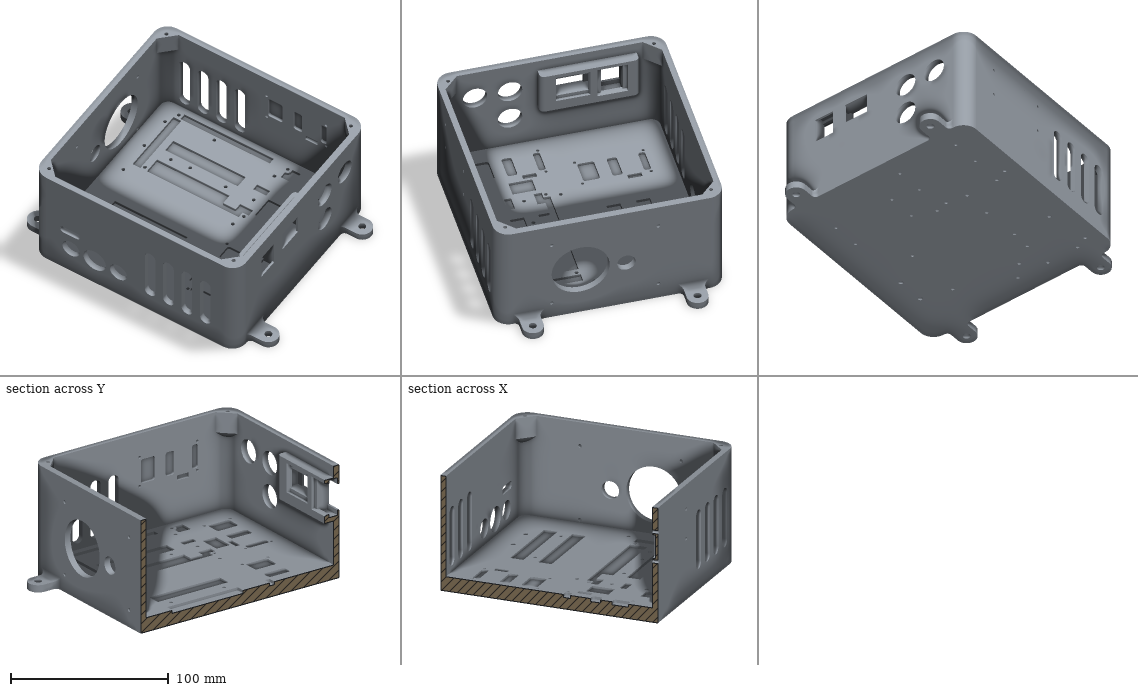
import math

import cadquery as cq

LENGTH = 155.0
WIDTH = 150.0
HEIGHT = 78.0
END_WALL = 4.5
SIDE_WALL = 4.0
FLOOR = 10.0
OUTER_RADIUS = 10.2
INNER_RADIUS = OUTER_RADIUS - SIDE_WALL
CAVITY_LENGTH = LENGTH - 2 * END_WALL
CAVITY_WIDTH = WIDTH - 2 * SIDE_WALL

PAD_LEG = 10.0
PAD_HEIGHT = 14.0
LID_SCREW_X = 70.0
LID_SCREW_Y = 67.5
LID_SCREW_DIAMETER = 2.5
LID_SCREW_DEPTH = 10.0

LUG_REACH = 17.0
LUG_WIDTH = 14.0
LUG_THICKNESS = 5.0
LUG_HOLE_DIAMETER = 5.0
LUG_ROOT_RADIUS = 3.0
LUG_Y = 54.0

SLOT_COUNT = 4
SLOT_PITCH = 14.0
SLOT_WIDTH = 8.0
SLOT_LENGTH = 40.0
SLOT_BOTTOM = 14.2
FRONT_SLOT_START = 11.5
BACK_SLOT_START = -58.5

JACK_X = -30.5
JACK_Z = 21.2
JACK_PITCH = 18.0
JACK_MIDDLE_DIAMETER = 17.0
JACK_SIDE_DIAMETER = 13.0
SWITCH_X = -49.2
SWITCH_Z = 36.1
SWITCH_LENGTH = 14.6
SWITCH_HEIGHT = 5.3
SWITCH_CORNER = 2.0

PANEL_SCREW_CENTER = (4.0, 37.0)
PANEL_SCREW_SPAN = (70.0, 50.0)
PANEL_SCREW_DIAMETER = 2.5
LARGE_PORT_CENTER = (20.0, 36.5)
LARGE_PORT_DIAMETER = 38.0
SMALL_PORT_CENTER = (-10.0, 35.2)
SMALL_PORT_DIAMETER = 12.0

GLAND_DIAMETER = 16.0
GLAND_PITCH = 23.0
GLAND_Y = 26.0
GLAND_Z = 33.0

BLOCK_DEPTH = 7.0
BLOCK_LENGTH = 65.0
BLOCK_HEIGHT = 30.0
BLOCK_START_Y = -57.0
BLOCK_BOTTOM = 40.0
BLOCK_RADIUS = 3.0
BLOCK_FACE_X = CAVITY_LENGTH / 2 - BLOCK_DEPTH

RIM_LENGTH = 22.6
RIM_WIDTH = 20.0
RIM_DEPTH = 2.0
RIM_TAPER = 0.7
THROAT_WIDTH = 14.4
THROAT_END = 3.6
CHAMBER_OVERHANG = 1.5
CHAMBER_END = 10.0
EXIT_START = 2.7
EXIT_STOP = 20.6
EXIT_END = BLOCK_DEPTH + END_WALL
SIDEWAYS_JACK_Y = -2.2
SIDEWAYS_JACK_Z = 57.4
UPRIGHT_JACK_Y = -39.4
UPRIGHT_JACK_TOP = 67.6

POCKET_DEPTH = 2.0
SOCKET_LENGTH = 55.0
SOCKET_WIDTH = 9.2
BOARD_HOLE_DIAMETER = 2.4
WIDE_HOLE_DIAMETER = 3.2
BOSS_RADIUS = 3.0

WINDOW_LENGTH = 16.4
WINDOW_CORNER = 1.6
WINDOWS = [(15.9, 11.0), (-1.2, 6.6), (-20.8, 4.6)]
NOTCH_OFFSET = -11.4
NOTCH_LENGTH = 9.2
NOTCH_WIDTH = 3.4
CONNECTOR_SCREW_SPAN = (20.0, 45.0)
CONNECTOR_HOLE_DIAMETER = 2.0
FLOOR_CONNECTORS = [(53.2, 33.0), (36.4, -31.6)]
BACK_CONNECTOR_X = 26.3
BACK_CONNECTOR_Z = 51.5

SOCKET_X = -49.4
LOWER_SOCKET_X = -52.6
STEP_Y = 13.8
POCKETS = [
    (-55.7, 62.1, 67.7, 4.6),
    (-60.3, STEP_Y, 5.9, 47.2),
    (SOCKET_X, 35.0, SOCKET_LENGTH, SOCKET_WIDTH),
    (15.1, 38.3, 9.8, 4.6),
    (28.0, 20.9, 10.4, 15.5),
    (LOWER_SOCKET_X, -27.4, SOCKET_LENGTH, SOCKET_WIDTH),
    (LOWER_SOCKET_X, -46.8, SOCKET_LENGTH, SOCKET_WIDTH),
]
BOSS_CENTER = (24.2, 64.3)
BOSS_POCKET = (24.1, 56.3, 9.2, 9.1)
STEPPED_POCKET = [
    (SOCKET_X, STEP_Y),
    (20.3, STEP_Y),
    (20.3, 18.2),
    (24.9, 18.2),
    (24.9, 23.4),
    (15.1, 23.4),
    (15.1, 18.2),
    (SOCKET_X + SOCKET_LENGTH, 18.2),
    (SOCKET_X + SOCKET_LENGTH, 25.5),
    (SOCKET_X, 25.5),
]
BOARD_HOLES = [(x, y) for x in (-62.7, 20.3) for y in (54.9, 31.0, 6.9)]
BOARD_HOLES += [(-58.5, BOSS_CENTER[1]), BOSS_CENTER, (-52.3, 16.0), (22.7, 16.0)]
BOARD_HOLES += [(-42.2, 30.4), (-0.6, 30.4), (-28.1, 59.2), (-28.1, 31.3)]
BOARD_HOLES += [(-46.1, -32.6), (-4.7, -32.6)]
WIDE_HOLES = [(-40.7, -54.6), (-20.7, -54.6)]

CORNERS = [(sx, sy) for sx in (-1, 1) for sy in (-1, 1)]


def horizontal_plane(z):
    return cq.Workplane("XY", origin=(0, 0, z))


def front_wall_plane():
    """XZ plane on the inner face of the front wall; extrusions run outward through it."""
    return cq.Workplane("XZ", origin=(0, -CAVITY_WIDTH / 2, 0))


def end_wall_holes(start_x, centers, diameter):
    plane = cq.Workplane("YZ", origin=(start_x, 0, 0))
    return plane.pushPoints(centers).circle(diameter / 2).extrude(END_WALL)


def make_lug(sx, y):
    """Round-ended lug reaching from inside the end wall."""
    half = LUG_WIDTH / 2
    root_x = sx * (LENGTH / 2 - END_WALL)
    tip_x = sx * (LENGTH / 2 + LUG_REACH)
    hole_x = tip_x - sx * half
    outline = cq.Workplane("XY").moveTo(root_x, y - half).lineTo(hole_x, y - half)
    outline = outline.threePointArc((tip_x, y), (hole_x, y + half)).lineTo(root_x, y + half)
    lug = outline.close().extrude(LUG_THICKNESS)
    hole = cq.Workplane("XY").center(hole_x, y).circle(LUG_HOLE_DIAMETER / 2).extrude(LUG_THICKNESS)
    return lug.cut(hole)


def lug_root_edges(sx, y):
    """Selects the lug's side and top edges where it meets the end wall."""
    margin = 0.1
    wall_x = sx * LENGTH / 2
    reach = LUG_WIDTH / 2 + margin
    low = (wall_x - margin, y - reach, margin)
    high = (wall_x + margin, y + reach, LUG_THICKNESS + margin)
    return cq.selectors.BoxSelector(low, high)


def make_pad(sx, sy):
    """Corner pad with a diagonal face and an underside sloping back to the corner at 45 degrees."""
    corner = (sx * CAVITY_LENGTH / 2, sy * CAVITY_WIDTH / 2, HEIGHT)
    reach = PAD_LEG / math.sqrt(2)
    diagonal = cq.Plane(origin=corner, xDir=(-sx, -sy, 0), normal=(sx * sy, -1, 0))
    down = diagonal.yDir.z
    profile = [
        (0, 0),
        (reach, 0),
        (reach, -down * PAD_HEIGHT),
        (0, -down * (PAD_HEIGHT + reach)),
    ]
    return cq.Workplane(diagonal).polyline(profile).close().extrude(PAD_LEG, both=True)


def make_cavity():
    cavity = horizontal_plane(FLOOR).rect(CAVITY_LENGTH, CAVITY_WIDTH).extrude(HEIGHT - FLOOR)
    cavity = cavity.edges("|Z").fillet(INNER_RADIUS)
    for sx, sy in CORNERS:
        cavity = cavity.cut(make_pad(sx, sy))
    return cavity


def make_box():
    box = cq.Workplane("XY").rect(LENGTH, WIDTH).extrude(HEIGHT).edges("|Z").fillet(OUTER_RADIUS)
    for sx, sy in CORNERS:
        box = box.union(make_lug(sx, sy * LUG_Y))
        box = box.edges(lug_root_edges(sx, sy * LUG_Y)).fillet(LUG_ROOT_RADIUS)
    return box.cut(make_cavity())


def lid_screw_holes():
    centers = [(sx * LID_SCREW_X, sy * LID_SCREW_Y) for sx, sy in CORNERS]
    plane = horizontal_plane(HEIGHT - LID_SCREW_DEPTH)
    return plane.pushPoints(centers).circle(LID_SCREW_DIAMETER / 2).extrude(LID_SCREW_DEPTH)


def make_block():
    corner = (BLOCK_FACE_X, BLOCK_START_Y, BLOCK_BOTTOM)
    block = cq.Workplane("XY").box(BLOCK_DEPTH, BLOCK_LENGTH, BLOCK_HEIGHT, centered=False)
    return block.edges("|Z and <X").fillet(BLOCK_RADIUS).translate(corner)


def jack_opening(origin, long_direction):
    """Stepped opening cut from the block face; origin is the middle of the rim's starting end."""
    depth_direction = cq.Vector(1, 0, 0)
    across = cq.Vector(*long_direction).cross(depth_direction)
    plane = cq.Plane(origin=origin, xDir=long_direction, normal=across)
    depth_sign = plane.yDir.x

    def prism(outline, width):
        points = [(along, depth_sign * depth) for along, depth in outline]
        return cq.Workplane(plane).polyline(points).close().extrude(width / 2, both=True)

    def step(start, stop, depth_from, depth_to):
        outline = [(start, depth_from), (stop, depth_from), (stop, depth_to), (start, depth_to)]
        return prism(outline, THROAT_WIDTH)

    throat_stop = RIM_LENGTH - RIM_TAPER
    rim = prism([(0, 0), (RIM_LENGTH, 0), (throat_stop, RIM_DEPTH), (RIM_TAPER, RIM_DEPTH)], RIM_WIDTH)
    throat = step(RIM_TAPER, throat_stop, RIM_DEPTH, THROAT_END)
    chamber = step(-CHAMBER_OVERHANG, RIM_LENGTH + CHAMBER_OVERHANG, THROAT_END, CHAMBER_END)
    exit_hole = step(EXIT_START, EXIT_STOP, CHAMBER_END, EXIT_END)
    return rim.union(throat).union(chamber).union(exit_hole)


def vent_slots(start_x, inner_y):
    """Row of upright slots extruded toward -Y from inner_y through one side wall."""
    z = SLOT_BOTTOM + SLOT_LENGTH / 2
    centers = [(start_x + i * SLOT_PITCH, z) for i in range(SLOT_COUNT)]
    plane = cq.Workplane("XZ", origin=(0, inner_y, 0))
    return plane.pushPoints(centers).slot2D(SLOT_LENGTH, SLOT_WIDTH, 90).extrude(SIDE_WALL)


def front_openings():
    side_centers = [(JACK_X - JACK_PITCH, JACK_Z), (JACK_X + JACK_PITCH, JACK_Z)]
    middle = front_wall_plane().center(JACK_X, JACK_Z).circle(JACK_MIDDLE_DIAMETER / 2).extrude(SIDE_WALL)
    sides = front_wall_plane().pushPoints(side_centers).circle(JACK_SIDE_DIAMETER / 2).extrude(SIDE_WALL)
    switch = front_wall_plane().center(SWITCH_X, SWITCH_Z).rect(SWITCH_LENGTH, SWITCH_HEIGHT)
    switch = switch.extrude(SIDE_WALL).edges("|Y").fillet(SWITCH_CORNER)
    return middle.union(sides).union(switch)


def panel_wall_openings():
    center_y, center_z = PANEL_SCREW_CENTER
    span_y, span_z = PANEL_SCREW_SPAN
    screws = [(center_y + sy * span_y / 2, center_z + sz * span_z / 2) for sy, sz in CORNERS]
    start_x = -LENGTH / 2
    openings = end_wall_holes(start_x, screws, PANEL_SCREW_DIAMETER)
    openings = openings.union(end_wall_holes(start_x, [LARGE_PORT_CENTER], LARGE_PORT_DIAMETER))
    return openings.union(end_wall_holes(start_x, [SMALL_PORT_CENTER], SMALL_PORT_DIAMETER))


def gland_holes():
    upper_z = GLAND_Z + GLAND_PITCH
    centers = [(GLAND_Y, GLAND_Z), (GLAND_Y, upper_z), (GLAND_Y + GLAND_PITCH, upper_z)]
    return end_wall_holes(CAVITY_LENGTH / 2, centers, GLAND_DIAMETER)


def connector_pattern(hole_depth):
    """Connector board cuts, sunk below Z = 0 and centred on the screw holes."""
    plane = cq.Workplane("XY")
    pattern = plane.rect(*CONNECTOR_SCREW_SPAN, forConstruction=True).vertices()
    pattern = pattern.circle(CONNECTOR_HOLE_DIAMETER / 2).extrude(-hole_depth)
    for y, width in WINDOWS:
        window = plane.center(0, y).rect(WINDOW_LENGTH, width).extrude(-POCKET_DEPTH)
        pattern = pattern.union(window.edges("|Z").fillet(WINDOW_CORNER))
    notch = plane.center(NOTCH_OFFSET, NOTCH_OFFSET).rect(NOTCH_WIDTH, NOTCH_LENGTH)
    return pattern.union(notch.extrude(-POCKET_DEPTH))


def back_connector():
    """Connector pattern turned a quarter and stood up against the inside of the back wall."""
    origin = (BACK_CONNECTOR_X, CAVITY_WIDTH / 2, BACK_CONNECTOR_Z)
    plane = cq.Plane(origin=origin, xDir=(0, 0, 1), normal=(0, -1, 0))
    return connector_pattern(SIDE_WALL).val().moved(cq.Location(plane))


def floor_pocket(x, y, size_x, size_y):
    pocket = cq.Workplane("XY").box(size_x, size_y, POCKET_DEPTH, centered=False)
    return pocket.translate((x, y, FLOOR - POCKET_DEPTH))


def board_pockets():
    pocket_floor = FLOOR - POCKET_DEPTH
    pockets = horizontal_plane(pocket_floor).polyline(STEPPED_POCKET).close().extrude(POCKET_DEPTH)
    for place in POCKETS:
        pockets = pockets.union(floor_pocket(*place))
    boss = horizontal_plane(pocket_floor).center(*BOSS_CENTER).circle(BOSS_RADIUS).extrude(POCKET_DEPTH)
    return pockets.union(floor_pocket(*BOSS_POCKET).cut(boss))


def board_holes():
    holes = cq.Workplane("XY").pushPoints(BOARD_HOLES).circle(BOARD_HOLE_DIAMETER / 2).extrude(FLOOR)
    wide = cq.Workplane("XY").pushPoints(WIDE_HOLES).circle(WIDE_HOLE_DIAMETER / 2).extrude(FLOOR)
    return holes.union(wide)


result = make_box().union(make_block())
result = result.cut(lid_screw_holes())

result = result.cut(vent_slots(FRONT_SLOT_START, -CAVITY_WIDTH / 2))
result = result.cut(vent_slots(BACK_SLOT_START, WIDTH / 2))
result = result.cut(front_openings())
result = result.cut(cq.Workplane(back_connector()))

result = result.cut(panel_wall_openings())
result = result.cut(gland_holes())
result = result.cut(jack_opening((BLOCK_FACE_X, SIDEWAYS_JACK_Y, SIDEWAYS_JACK_Z), (0, -1, 0)))
result = result.cut(jack_opening((BLOCK_FACE_X, UPRIGHT_JACK_Y, UPRIGHT_JACK_TOP), (0, 0, -1)))

result = result.cut(board_pockets())
result = result.cut(board_holes())
for center_x, center_y in FLOOR_CONNECTORS:
    result = result.cut(connector_pattern(FLOOR).translate((center_x, center_y, FLOOR)))